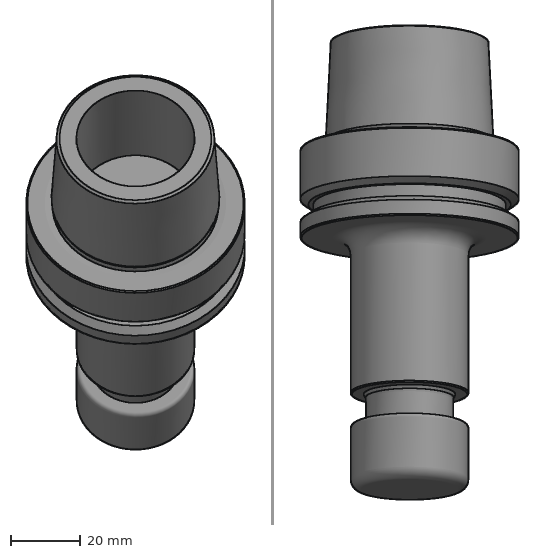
import cadquery as cq
import math


taper_length = 32.0
taper_gauge_radius = 24.2
taper_gauge_height = 2.5
taper_slope = 1 / 20
taper_tip_chamfer_width = 0.9
taper_tip_chamfer_height = 0.45
bore_radius = 17.0
bore_depth = taper_length

undercut_radius = 23.7
undercut_top = 1.3
undercut_bottom = 0.9
face_dish_inner_radius = 24.0
face_dish_outer_radius = 26.1
face_dish_depth = 0.25

flange_radius = 31.5
flange_thickness = 26.0
flange_edge_chamfer = 0.4
groove_center_depth = 18.0
groove_mouth_width = 6.9
groove_floor_radius = 27.75
groove_floor_width = 3.7
groove_step_radius = 29.15

shank_radius = 17.0
shank_end_depth = 72.0
shank_root_fillet = 5.0
shank_end_chamfer = 0.4

collar_radius = 13.2
collar_length = 1.0
relief_radius = 12.7
relief_length = 0.8
neck_radius = 12.6

nut_radius = 17.0
nut_end_depth = 100.0
nut_length = 19.0
nut_top_fillet = 1.2
nut_bottom_fillet = 3.0


def round_corner(profile, center, radius, start_angle, end_angle):
    """Run to the start of an arc about center, then follow the arc (angles in degrees)."""
    def at(angle):
        turn = math.radians(angle)
        return (center[0] + radius * math.cos(turn), center[1] + radius * math.sin(turn))

    return profile.lineTo(*at(start_angle)).threePointArc(at((start_angle + end_angle) / 2), at(end_angle))


def draw_taper(profile):
    """Tip edge, cone, undercut and the shallow dish in the flange face."""
    chamfer_base = taper_length - taper_tip_chamfer_height
    tip_radius = taper_gauge_radius - taper_slope * (chamfer_base - taper_gauge_height)
    return (
        profile.lineTo(tip_radius - taper_tip_chamfer_width, taper_length)
        .lineTo(tip_radius, chamfer_base)
        .lineTo(taper_gauge_radius, taper_gauge_height)
        .lineTo(undercut_radius, undercut_top)
        .lineTo(undercut_radius, undercut_bottom)
        .lineTo(face_dish_inner_radius, -face_dish_depth)
        .lineTo(face_dish_outer_radius, 0)
    )


def draw_flange(profile):
    """Flange rim with chamfered edges and a groove of sloped flanks and a stepped-in floor."""
    edge_radius = flange_radius - flange_edge_chamfer
    mouth_half = groove_mouth_width / 2
    floor_half = groove_floor_width / 2
    return (
        profile.lineTo(edge_radius, 0)
        .lineTo(flange_radius, -flange_edge_chamfer)
        .lineTo(flange_radius, mouth_half - groove_center_depth)
        .lineTo(groove_step_radius, floor_half - groove_center_depth)
        .lineTo(groove_floor_radius, floor_half - groove_center_depth)
        .lineTo(groove_floor_radius, -floor_half - groove_center_depth)
        .lineTo(groove_step_radius, -floor_half - groove_center_depth)
        .lineTo(flange_radius, -mouth_half - groove_center_depth)
        .lineTo(flange_radius, flange_edge_chamfer - flange_thickness)
        .lineTo(edge_radius, -flange_thickness)
    )


def draw_shank(profile):
    """Cylindrical shank, filleted into the flange and chamfered at its end."""
    root_center = (shank_radius + shank_root_fillet, -flange_thickness - shank_root_fillet)
    return (
        round_corner(profile, root_center, shank_root_fillet, 90, 180)
        .lineTo(shank_radius, shank_end_chamfer - shank_end_depth)
        .lineTo(shank_radius - shank_end_chamfer, -shank_end_depth)
    )


def draw_neck(profile):
    """Conical collar, relief and neck down to the top of the nut."""
    collar_end = -shank_end_depth - collar_length
    return (
        profile.lineTo(collar_radius, -shank_end_depth)
        .lineTo(relief_radius, collar_end)
        .lineTo(neck_radius, collar_end - relief_length)
        .lineTo(neck_radius, nut_length - nut_end_depth)
    )


def draw_nut(profile):
    """Clamping nut with both outer edges rounded."""
    top_center = (nut_radius - nut_top_fillet, nut_length - nut_end_depth - nut_top_fillet)
    bottom_center = (nut_radius - nut_bottom_fillet, nut_bottom_fillet - nut_end_depth)
    profile = round_corner(profile, top_center, nut_top_fillet, 90, 0)
    return round_corner(profile, bottom_center, nut_bottom_fillet, 0, -90)


section = (
    cq.Workplane("XZ")
    .moveTo(0, taper_length - bore_depth)
    .lineTo(bore_radius, taper_length - bore_depth)
    .lineTo(bore_radius, taper_length)
)
for draw_stretch in (draw_taper, draw_flange, draw_shank, draw_neck, draw_nut):
    section = draw_stretch(section)

result = section.lineTo(0, -nut_end_depth).close().revolve(360, (0, 0, 0), (0, 1, 0))